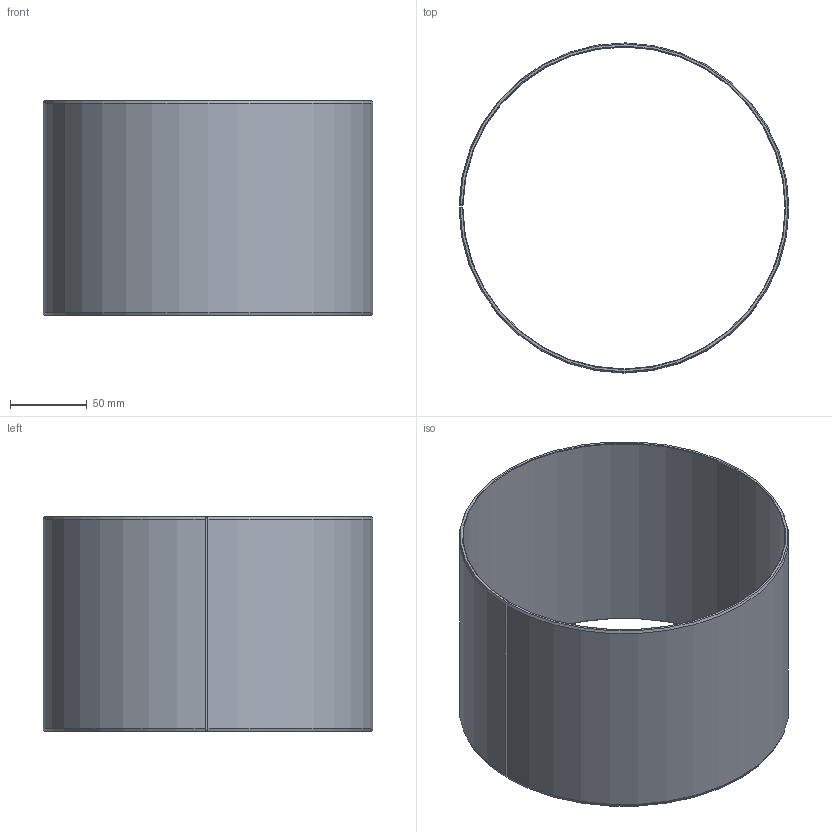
import cadquery as cq

outer_diameter = 215.0
height = 140.0
wall = 2.5
slit_width = 1.85
outer_bevel_radial = 0.67
outer_bevel_axial = 1.8
inner_bevel = 0.35

outer_radius = outer_diameter / 2
inner_radius = outer_radius - wall


def ring():
    """Closed ring revolved from a wall cross-section with all four corners bevelled."""
    rim_outer_radius = outer_radius - outer_bevel_radial
    rim_inner_radius = inner_radius + inner_bevel
    section = (
        cq.Workplane("XZ")
        .moveTo(rim_inner_radius, 0)
        .lineTo(rim_outer_radius, 0)
        .lineTo(outer_radius, outer_bevel_axial)
        .lineTo(outer_radius, height - outer_bevel_axial)
        .lineTo(rim_outer_radius, height)
        .lineTo(rim_inner_radius, height)
        .lineTo(inner_radius, height - inner_bevel)
        .lineTo(inner_radius, inner_bevel)
        .close()
    )
    return section.revolve(360, (0, 0), (0, 1))


def slit_cutter():
    """Full-height block from the ring axis out through the -X wall."""
    corner = (-outer_radius, 0, 0)
    return cq.Workplane("XY").box(outer_radius, slit_width, height, centered=False).translate(corner)


result = ring().cut(slit_cutter())